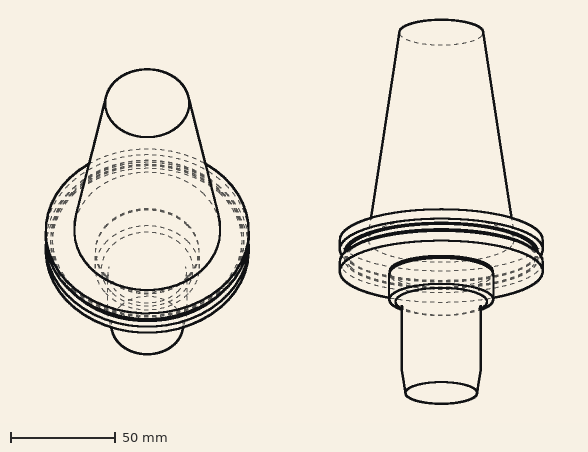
import cadquery as cq

flange_diameter = 97.5
groove_diameter = 91.0
flange_bottom = 61.2
flange_top = 77.0
groove_lower_edge = 66.1
groove_upper_edge = 72.3
groove_wall_height = 1.3
groove_land_height = 0.4
groove_land_diameter = 92.8

total_height = 181.6
taper_diameter = 70.0
taper_start = 80.3
taper_ratio = 7 / 24
taper_end_diameter = taper_diameter - taper_ratio * (total_height - taper_start)

collar_diameter = 50.0
collar_bottom = 47.0
relief_bottom = 60.1
relief_depth = 0.2

body_diameter = 38.0
nose_diameter = 34.5
nose_height = 11.5

undercut_depth = 0.2
body_top = 41.0
undercut_bottom = 42.1
undercut_top = 43.2
neck_cone_height = 1.0
neck_cone_bottom = collar_bottom - neck_cone_height
neck_cone_diameter = 44.0

flange_radius = flange_diameter / 2
groove_radius = groove_diameter / 2
groove_land_radius = groove_land_diameter / 2
lower_land_bottom = groove_lower_edge + groove_wall_height
lower_land_top = lower_land_bottom + groove_land_height
upper_land_top = groove_upper_edge - groove_wall_height
upper_land_bottom = upper_land_top - groove_land_height
taper_radius = taper_diameter / 2
collar_radius = collar_diameter / 2
relief_radius = collar_radius - relief_depth
body_radius = body_diameter / 2
undercut_radius = body_radius - undercut_depth

profile = (
    cq.Workplane("YZ")
    .lineTo(nose_diameter / 2, 0)
    .lineTo(body_radius, nose_height)
    .lineTo(body_radius, body_top)
    .lineTo(undercut_radius, undercut_bottom)
    .lineTo(undercut_radius, undercut_top)
    .tangentArcPoint((neck_cone_diameter / 2, neck_cone_bottom), relative=False)
    .lineTo(collar_radius, collar_bottom)
    .lineTo(collar_radius, relief_bottom)
    .lineTo(relief_radius, relief_bottom)
    .lineTo(relief_radius, flange_bottom)
    .lineTo(flange_radius, flange_bottom)
    .lineTo(flange_radius, groove_lower_edge)
    .lineTo(groove_land_radius, lower_land_bottom)
    .lineTo(groove_land_radius, lower_land_top)
    .lineTo(groove_radius, lower_land_top)
    .lineTo(groove_radius, upper_land_bottom)
    .lineTo(groove_land_radius, upper_land_bottom)
    .lineTo(groove_land_radius, upper_land_top)
    .lineTo(flange_radius, groove_upper_edge)
    .lineTo(flange_radius, flange_top)
    .lineTo(taper_radius, flange_top)
    .lineTo(taper_radius, taper_start)
    .lineTo(taper_end_diameter / 2, total_height)
    .lineTo(0, total_height)
    .close()
)

result = profile.revolve(360, (0, 0, 0), (0, 1, 0))